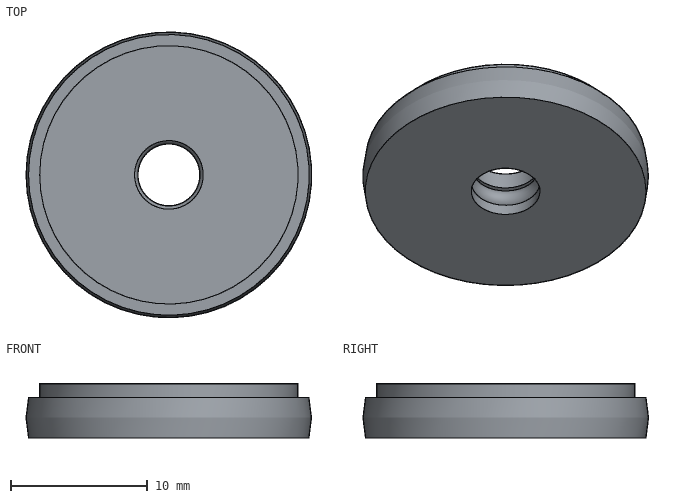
import cadquery as cq

RIM_RADIUS = 10.45
EDGE_RADIUS = 10.26
BOSS_RADIUS = 9.45
TOTAL_HEIGHT = 4.0
BOSS_HEIGHT = 1.0
SHOULDER_HEIGHT = TOTAL_HEIGHT - BOSS_HEIGHT
CROWN_HEIGHT = SHOULDER_HEIGHT / 2

BORE_RADIUS = 2.5
SEAL_INNER_RADIUS = 2.25
SEAL_TUBE_RADIUS = 0.75
SEAL_CENTER_RADIUS = SEAL_INNER_RADIUS + SEAL_TUBE_RADIUS
GROOVE_RADIUS = SEAL_CENTER_RADIUS + SEAL_TUBE_RADIUS
GROOVE_BOTTOM = 0.9
GROOVE_WIDTH = 1.71
SEAL_CENTER_HEIGHT = GROOVE_BOTTOM + GROOVE_WIDTH / 2


def make_housing():
    """Crowned disc with a raised boss, a through bore and a seal groove."""
    body = (
        cq.Workplane("XZ")
        .moveTo(0, 0)
        .lineTo(-EDGE_RADIUS, 0)
        .lineTo(-RIM_RADIUS, CROWN_HEIGHT)
        .lineTo(-EDGE_RADIUS, SHOULDER_HEIGHT)
        .lineTo(-BOSS_RADIUS, SHOULDER_HEIGHT)
        .lineTo(-BOSS_RADIUS, TOTAL_HEIGHT)
        .lineTo(0, TOTAL_HEIGHT)
        .close()
        .revolve(360, (0, 0), (0, 1))
    )
    bore = cq.Workplane("XY").circle(BORE_RADIUS).extrude(TOTAL_HEIGHT)
    groove = (
        cq.Workplane("XY", origin=(0, 0, GROOVE_BOTTOM))
        .circle(GROOVE_RADIUS)
        .extrude(GROOVE_WIDTH)
    )
    return body.cut(bore).cut(groove)


def make_seal():
    """O-ring whose outer edge touches the groove wall, centred in the groove width."""
    return (
        cq.Workplane("XZ")
        .center(SEAL_CENTER_RADIUS, SEAL_CENTER_HEIGHT)
        .moveTo(-SEAL_TUBE_RADIUS, 0)
        .threePointArc((0, SEAL_TUBE_RADIUS), (SEAL_TUBE_RADIUS, 0))
        .threePointArc((0, -SEAL_TUBE_RADIUS), (-SEAL_TUBE_RADIUS, 0))
        .close()
        .revolve(360, (-SEAL_CENTER_RADIUS, 0), (-SEAL_CENTER_RADIUS, 1), clean=False)
    )


housing = make_housing()
seal = make_seal()
result = cq.Compound.makeCompound([housing.val(), seal.val()])